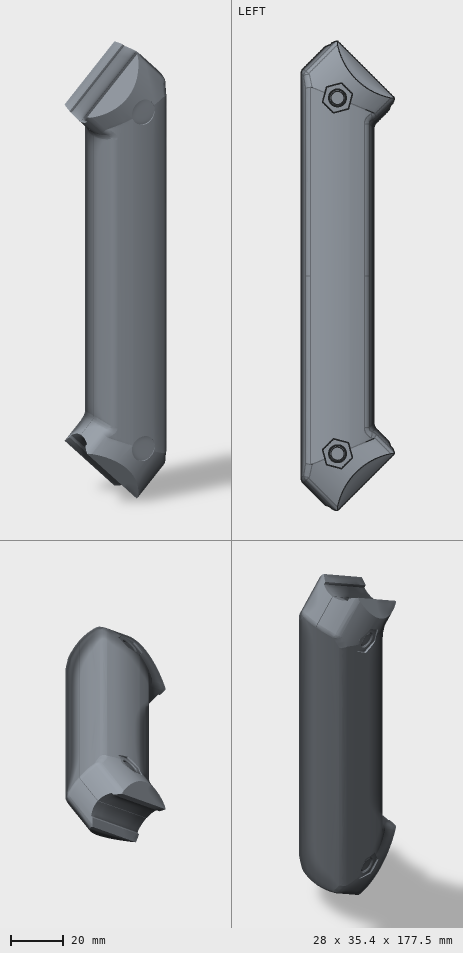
import cadquery as cq
import math

overall_height = 177.5
bend_angle = 45.0
bend_inset = 21.5
width = 28.0
bar_depth = 27.7
end_depth = 34.0
side_radius = 25.7
bar_face_radius = 28.4
end_face_radius = 23.0
corner_radius = 3.5
bend_fillet = 2.7
split_gap = 0.2

ridge_reach = 15.3
ridge_offset = 8.7
roof_angle = 45.0
channel_half_width = 6.0
lip_fall = 2.0
channel_wall = 1.0
channel_sag = 1.8

bolt_radius = 3.0
bolt_chamfer = 0.5
head_radius = 5.0
head_height = 6.0
head_face = 13.3
nut_flats = 10.0
nut_height = 5.0
nut_clearance = 0.2
nut_face = 13.3
nut_chamfer = 0.4
fastener_turn = bend_angle
hexagon_sides = 6

bend_z = overall_height / 2 - bend_inset
half_width = width / 2
nut_seat = nut_face - nut_height
bolt_tip = nut_face - nut_chamfer
head_seat = head_face - head_height
end_start = -end_depth / 2
end_length = ridge_reach - end_start
corner_zone_inner = 0.55 * half_width
corner_zone_outer = 0.85 * half_width
face_overhang = 1.8
reach = overall_height


def faces_prism(depth, face_radius, start, length):
    """Prism along +Z between two bulged faces, wider than the handle."""
    x = half_width + face_overhang
    peak = depth / 2
    y = peak - face_radius + math.sqrt(face_radius**2 - x**2)
    return (
        cq.Workplane("XY", origin=(0, 0, start))
        .moveTo(-x, -y)
        .threePointArc((0, -peak), (x, -y))
        .lineTo(x, y)
        .threePointArc((0, peak), (-x, y))
        .close()
        .extrude(length)
    )


def sides_prism(start, length):
    """Prism along +Z between the two bulged sides, run on until they meet."""
    tip = math.sqrt(side_radius**2 - (side_radius - half_width) ** 2)
    return (
        cq.Workplane("XY", origin=(0, 0, start))
        .moveTo(0, -tip)
        .threePointArc((half_width, 0), (0, tip))
        .threePointArc((-half_width, 0), (0, -tip))
        .close()
        .extrude(length)
    )


def tilted(shape, angle):
    """Lean a shape toward -Y and lift it to the upper bend centre."""
    return shape.rotate((0, 0, 0), (1, 0, 0), angle).translate((0, 0, bend_z))


def half_space(x_side=0, y_side=0, z_side=0):
    """Large box reaching away from the origin on the given sides."""
    return cq.Workplane("XY").box(reach, reach, reach).translate(
        (x_side * reach / 2, y_side * reach / 2, z_side * reach / 2)
    )


def mouth_cutter():
    """Everything beyond the tip of an end: two roof slopes and a rounded channel, along the end's depth."""
    roof_run = half_width
    roof_low = ridge_reach - roof_run * math.tan(math.radians(roof_angle))
    roof_out = ridge_offset + roof_run
    wall_top = ridge_reach - lip_fall
    wall_foot = wall_top - channel_wall
    top = ridge_reach + width
    return (
        cq.Workplane("XZ", origin=(0, reach / 2, 0))
        .moveTo(-roof_out, top)
        .lineTo(-roof_out, roof_low)
        .lineTo(-ridge_offset, ridge_reach)
        .lineTo(-channel_half_width, wall_top)
        .lineTo(-channel_half_width, wall_foot)
        .threePointArc((0, wall_foot - channel_sag), (channel_half_width, wall_foot))
        .lineTo(channel_half_width, wall_top)
        .lineTo(ridge_offset, ridge_reach)
        .lineTo(roof_out, roof_low)
        .lineTo(roof_out, top)
        .close()
        .extrude(reach)
    )


def bent_faces(above_bend, below_bend):
    """Front and back faces of the upper half, with both bend lines rounded."""
    behind_bend = tilted(half_space(y_side=1), bend_angle / 2)
    ahead_of_bend = tilted(half_space(y_side=-1), bend_angle / 2)
    bar = faces_prism(bar_depth, bar_face_radius, 0, overall_height)
    end = tilted(faces_prism(end_depth, end_face_radius, end_start, end_length), bend_angle)
    end_above = end.intersect(above_bend)
    end_rear = end_above.intersect(behind_bend).intersect(bar)
    end_front = end_above.intersect(ahead_of_bend)
    foot = tilted(faces_prism(end_depth, end_face_radius, 0, ridge_reach), bend_angle).intersect(below_bend)
    faces = bar.intersect(below_bend).union(end_rear).union(end_front).union(foot).clean()

    bend_lines = faces.edges("%BSPLINE").vals()
    return cq.Workplane(faces.val().fillet(bend_fillet, bend_lines))


def upper_handle():
    """Upper half of the handle, from mid height to the mouth."""
    above_bend = tilted(half_space(z_side=1), bend_angle / 2)
    below_bend = tilted(half_space(z_side=-1), bend_angle / 2)
    bar_sides = sides_prism(0, overall_height).intersect(below_bend)
    end_sides = tilted(sides_prism(end_start, end_length), bend_angle).intersect(above_bend)
    sides = bar_sides.union(end_sides).clean()
    handle = bent_faces(above_bend, below_bend).intersect(sides).clean()

    corners = [
        edge for edge in handle.edges().vals()
        if corner_zone_inner < abs(edge.Center().x) < corner_zone_outer
    ]
    rounded = cq.Workplane(handle.val().fillet(corner_radius, corners))
    return rounded.cut(tilted(mouth_cutter(), bend_angle))


def bolt_site(shape, at_top):
    """Put a shape built around the X axis at the upper or lower bend, turned to match the lean."""
    placed = tilted(shape, fastener_turn)
    return placed if at_top else placed.mirror("XY")


def nut_prism(flats, length):
    """Hexagonal prism along -X that starts at the nut's inner face."""
    corner_diameter = flats / math.cos(math.pi / hexagon_sides)
    return (
        cq.Workplane("YZ", origin=(-nut_seat, 0, 0))
        .polygon(hexagon_sides, corner_diameter)
        .extrude(-length)
    )


def x_cylinder(radius, x_start, x_end):
    """Cylinder on the X axis between two X positions."""
    return cq.Workplane("YZ", origin=(x_start, 0, 0)).circle(radius).extrude(x_end - x_start)


def make_bolt():
    """Bolt with a plain round head toward +X and a chamfered tip."""
    shank = x_cylinder(bolt_radius, -bolt_tip, head_seat).faces("<X").chamfer(bolt_chamfer)
    return shank.union(x_cylinder(head_radius, head_seat, head_face))


def make_nut():
    """Hexagonal nut with its bore bevelled at the outer face."""
    nut = nut_prism(nut_flats, nut_height).cut(x_cylinder(bolt_radius, -nut_face, 0))
    return nut.faces("<X").edges("%CIRCLE").chamfer(nut_chamfer)


def make_shell(side):
    """One half of the handle, on the -X side (side = -1) or the +X side (side = 1)."""
    upper = upper_handle()
    handle = upper.union(upper.mirror("XY")).clean()
    shell = handle.intersect(half_space(x_side=side).translate((side * split_gap / 2, 0, 0)))
    for at_top in (True, False):
        shell = shell.cut(bolt_site(x_cylinder(bolt_radius, -width, width), at_top))
        if side < 0:
            shell = shell.cut(bolt_site(nut_prism(nut_flats + 2 * nut_clearance, width), at_top))
        else:
            shell = shell.cut(bolt_site(x_cylinder(head_radius, head_seat, width), at_top))
    return shell


nut_shell = make_shell(-1)
head_shell = make_shell(1)
bolts = [bolt_site(make_bolt(), at_top) for at_top in (True, False)]
nuts = [bolt_site(make_nut(), at_top) for at_top in (True, False)]

result = cq.Compound.makeCompound(
    [nut_shell.val(), head_shell.val(), *[bolt.val() for bolt in bolts], *[nut.val() for nut in nuts]]
)